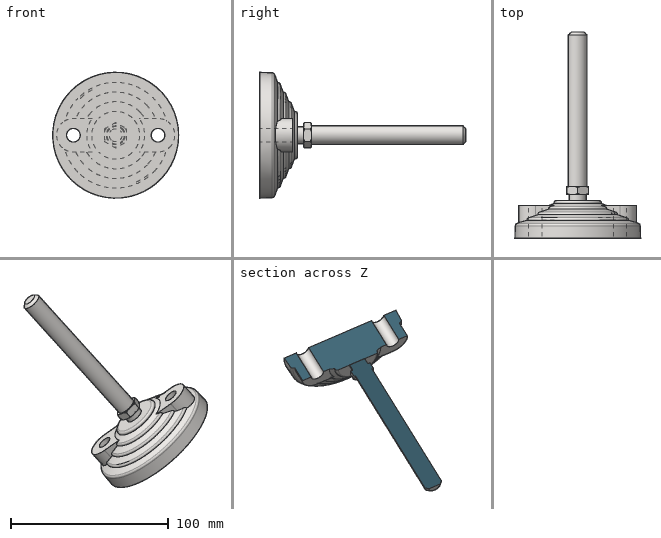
import cadquery as cq
import math

TOTAL_LENGTH = 131.0

FOOT_DIAMETER = 80.0
RIM_TOP_RADIUS = 39.7
TOP_RADIUS = 15.2
TIER_COUNT = 4
FOOT_HEIGHT = 24.1
TOP_BAND_BOTTOM = 22.1
TIER_RISE = 3.5
TIER_BAND = 1.25
TIER_FILLET = 1.7
TOP_FILLET = 1.7
TIER_STEP = (RIM_TOP_RADIUS - TOP_RADIUS) / TIER_COUNT

LUG_OFFSET = 26.9
LUG_RADIUS = 10.6
LUG_HEIGHT = 21.0
BOLT_HOLE_DIAMETER = 8.5

NECK_DIAMETER = 11.0
ROD_DIAMETER = 12.0
HEX_ACROSS_FLATS = 14.0
HEX_BOTTOM = 28.0
HEX_TOP = 32.9
HEX_CHAMFER = 0.7
TIP_CHAMFER = 2.0


def disc(radius, bottom, top):
    """Cylinder about the Y axis between two heights."""
    return cq.Workplane("XZ", origin=(0, bottom, 0)).circle(radius).extrude(bottom - top)


def make_dome():
    """Revolve the stepped outline: sloped flanks separated by short rounded bands."""
    outline = cq.Workplane("XY").moveTo(0, 0).lineTo(FOOT_DIAMETER / 2, 0)
    slope = math.atan2(TIER_STEP, TIER_RISE - TIER_BAND)
    tangent = TIER_FILLET * math.tan(slope / 2)
    for tier in range(TIER_COUNT, 0, -1):
        radius = TOP_RADIUS + tier * TIER_STEP
        band_top = TOP_BAND_BOTTOM - tier * TIER_RISE + TIER_BAND
        arc_start = (radius, band_top - tangent)
        arc_middle = (
            radius - TIER_FILLET * (1 - math.cos(slope / 2)),
            band_top - tangent + TIER_FILLET * math.sin(slope / 2),
        )
        arc_end = (
            radius - tangent * math.sin(slope),
            band_top + tangent * math.cos(slope),
        )
        inner_corner = (radius - TIER_STEP, TOP_BAND_BOTTOM - (tier - 1) * TIER_RISE)
        outline = outline.lineTo(*arc_start).threePointArc(arc_middle, arc_end).lineTo(*inner_corner)
    outline = outline.lineTo(TOP_RADIUS, FOOT_HEIGHT).lineTo(0, FOOT_HEIGHT).close()
    dome = outline.revolve(360, (0, 0, 0), (0, 1, 0))
    return dome.faces(">Y").edges().fillet(TOP_FILLET)


def make_foot():
    """Stepped dome with a round-ended lug bar across it and two bolt holes."""
    lugs = (
        cq.Workplane("XZ")
        .slot2D(2 * (LUG_OFFSET + LUG_RADIUS), 2 * LUG_RADIUS)
        .extrude(-LUG_HEIGHT)
    )
    bolt_holes = (
        cq.Workplane("XZ")
        .pushPoints([(-LUG_OFFSET, 0), (LUG_OFFSET, 0)])
        .circle(BOLT_HOLE_DIAMETER / 2)
        .extrude(-FOOT_HEIGHT)
    )
    return make_dome().union(lugs).cut(bolt_holes)


def make_hex():
    """Hexagon with flats facing +/-X and corners trimmed by a turned chamfer."""
    corner_radius = HEX_ACROSS_FLATS / math.sqrt(3)
    prism = (
        cq.Workplane("XZ", origin=(0, HEX_BOTTOM, 0))
        .transformed(rotate=(0, 0, 90))
        .polygon(6, 2 * corner_radius)
        .extrude(HEX_BOTTOM - HEX_TOP)
    )
    trim = disc(corner_radius, HEX_BOTTOM, HEX_TOP).edges().chamfer(HEX_CHAMFER)
    return prism.intersect(trim)


def make_spindle():
    """Neck standing on the foot, hexagon and rod with a chamfered tip."""
    neck = disc(NECK_DIAMETER / 2, FOOT_HEIGHT, HEX_BOTTOM)
    rod = disc(ROD_DIAMETER / 2, HEX_TOP, TOTAL_LENGTH).faces(">Y").chamfer(TIP_CHAMFER)
    return neck.union(make_hex()).union(rod)


foot = make_foot()
spindle = make_spindle()
result = cq.Compound.makeCompound([foot.val(), spindle.val()])